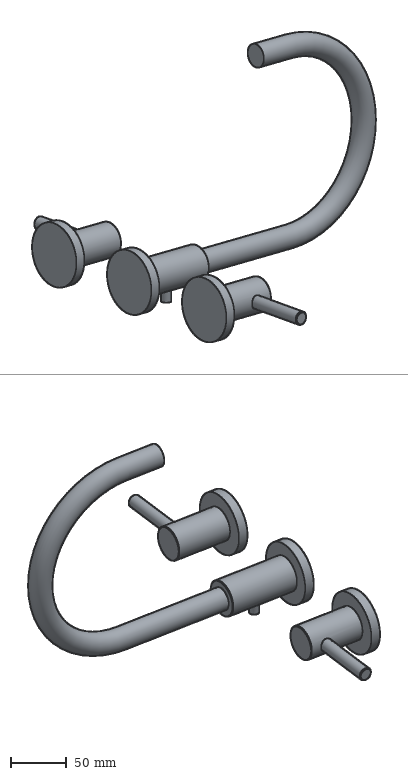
import cadquery as cq

plate_thickness = 9.65
plate_diameter = 60.4

end_chamfer = 0.6

handle_spacing = 101.6
handle_diameter = 33.0
handle_end = 66.45
lever_diameter = 12.7
lever_offset = 49.4
lever_reach = 76.36
lever_chamfer = 0.8

sleeve_diameter = 35.0
sleeve_end = 80.9
tube_diameter = 22.2
overall_depth = 293.48
overall_height = 222.28
outlet_length = 39.5
bend_diameter = overall_height - (plate_diameter + tube_diameter) / 2
bend_radius = bend_diameter / 2
bend_start = overall_depth - bend_radius - tube_diameter / 2

pin_diameter = 9.5
pin_offset = 44.6
pin_reach = 28.0


def post(diameter, start, end):
    """Cylinder about the Y axis, reaching from start to end."""
    return cq.Workplane("XZ", origin=(0, start, 0)).circle(diameter / 2).extrude(start - end)


def plated_post(post_diameter, end):
    """Wall plate with a coaxial post that is chamfered at its free end."""
    plate = post(plate_diameter, 0, plate_thickness)
    stem = post(post_diameter, 0, end).faces(">Y").chamfer(end_chamfer)
    return plate.union(stem)


def make_handle(side):
    """Handle on the -X side (side = -1) or +X side (side = 1), its lever pointing outwards."""
    lever = (
        cq.Workplane("YZ", origin=(0, lever_offset, 0))
        .circle(lever_diameter / 2)
        .extrude(lever_reach)
        .faces(">X")
        .chamfer(lever_chamfer)
    )
    if side < 0:
        lever = lever.mirror("YZ")
    body = plated_post(handle_diameter, handle_end)
    return body.union(lever).translate((side * handle_spacing, 0, 0))


def make_spout():
    """Sleeve on its plate, with the hooked tube and the diverter pin."""
    path = (
        cq.Workplane("YZ")
        .moveTo(plate_thickness, 0)
        .lineTo(bend_start, 0)
        .threePointArc((bend_start + bend_radius, bend_radius), (bend_start, bend_diameter))
        .lineTo(bend_start - outlet_length, bend_diameter)
    )
    tube = cq.Workplane("XZ", origin=(0, plate_thickness, 0)).circle(tube_diameter / 2).sweep(path)
    pin = cq.Workplane("XY", origin=(0, pin_offset, 0)).circle(pin_diameter / 2).extrude(-pin_reach)
    return plated_post(sleeve_diameter, sleeve_end).union(tube).union(pin)


spout = make_spout()
handles = [make_handle(side) for side in (-1, 1)]

result = cq.Compound.makeCompound([spout.val(), *[handle.val() for handle in handles]])